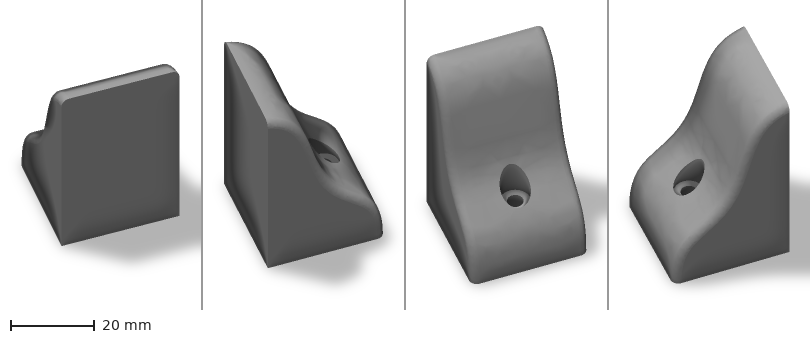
import cadquery as cq

depth = 30.0
width = 30.0
height = 50.0
edge_radius = 2.0

foot = (0, 0)
face_control_points = [
    foot,
    (0, 18.9),
    (8.55, 17.05),
    (22.65, 15),
    (13.95, 38.35),
    (19.05, 47.35),
    (depth, height),
]

screw_x = depth / 3
screw_y = width / 2
screw_diameter = 4.0
head_diameter = 7.5
head_seat_height = 14.0


def curved_body():
    """Block with a flat back and base, and rounded edges along its curved face."""
    body = (
        cq.Workplane("XZ")
        .moveTo(*foot)
        .bezier(face_control_points)
        .lineTo(depth, 0)
        .close()
        .extrude(-width)
    )
    curved_edges = body.faces("|Y").edges("not %LINE")
    return curved_edges.fillet(edge_radius)


def vertical_cutter(diameter, bottom):
    """Cylinder on the screw axis, reaching from the given height to the top."""
    return (
        cq.Workplane("XY", origin=(screw_x, screw_y, bottom))
        .circle(diameter / 2)
        .extrude(height - bottom)
    )


screw_hole = vertical_cutter(screw_diameter, 0)
head_recess = vertical_cutter(head_diameter, head_seat_height)
result = curved_body().cut(screw_hole).cut(head_recess)